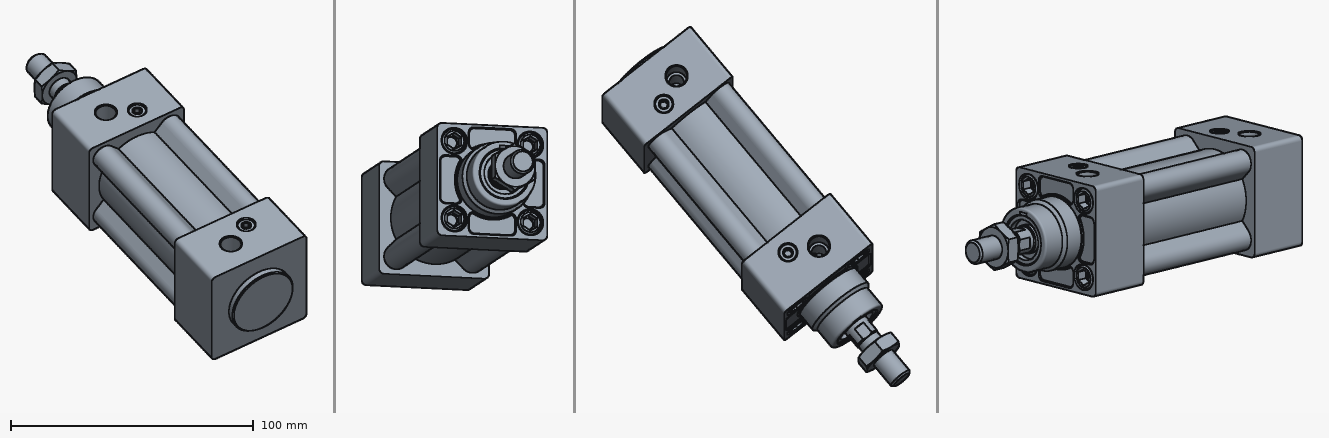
import cadquery as cq
import math

HEX_HALF_ANGLE = math.radians(30)

FRONT_CAP_START = 48.0
CAP_LENGTH = 27.5
TUBE_LENGTH = 64.0
FRONT_CAP_END = FRONT_CAP_START + CAP_LENGTH
REAR_CAP_START = FRONT_CAP_END + TUBE_LENGTH
REAR_CAP_END = REAR_CAP_START + CAP_LENGTH
TOTAL_LENGTH = 170

CAP_WIDTH = 47.0
CAP_HEIGHT = 47.1
CAP_EDGE_RADIUS = 2.0

BARREL_DIAMETER = 37.0
TIE_SPACING = 32.5
TIE_OFFSET = TIE_SPACING / 2
RIB_DIAMETER = 10.4

BOSS_DIAMETER = 30.0
BOSS_NOSE_DIAMETER = 27.0
BOSS_START = 28.9
BOSS_SHOULDER = 40.0
BOSS_NOSE_RADIUS = 0.8
REAR_BOSS_CHAMFER = 0.5

SEAL_BORE_DIAMETER = 17
SEAL_BORE_DEPTH = 3.4
RIM_DIAMETER = 21.5
RIM_DEPTH = 0.5
KEY_WIDTH = 3.9
KEY_REACH = 11.7
KEY_DEPTH = 1.0
WIPER_START = 30.0
WIPER_DIAMETER = 12.0

POCKET_DEPTH = 0.5
COLLAR_DIAMETER = 32.0
POCKET_LENGTH = 20.4
POCKET_INNER = 13.0
POCKET_OUTER = 22.5
POCKET_RADIUS = 2.5
POCKET_WALL_TAPER = 45

SCREW_HOLE_DIAMETER = 11.0
SCREW_HEAD_DIAMETER = 10.0
SCREW_TOP_DIAMETER = 8.3
SCREW_RECESS = 0.7
SCREW_SOCKET = 6.0
SCREW_SOCKET_DEPTH = 4.2
SCREW_BOTTOM_DIAMETER = 5.0
SCREW_BOTTOM_DEPTH = 0.8

PORT_INSET = 14.6
PORT_Y = -5.5
PORT_DIAMETER = 8.5
PORT_MOUTH_DIAMETER = 9.4
PORT_DEPTH = 10.2
PASSAGE_DIAMETER = 6.0
CUSHION_INSET = 8.7
CUSHION_Y = 6.1
CUSHION_DIAMETER = 8.0
CUSHION_FLOOR_DIAMETER = 7.0
CUSHION_SOCKET_DIAMETER = 3.5
CUSHION_SOCKET_MOUTH_DIAMETER = 4.2
CUSHION_SOCKET_DEPTH = 2.5

ROD_DIAMETER = 11.0
THREAD_DIAMETER = 10.0
THREAD_LENGTH = 22.0
THREAD_CHAMFER = 0.8
FLATS_END = 27.9
NUT_START = 12.0
NUT_LENGTH = 6.0
NUT_WIDTH = 17
NUT_CHAMFER_ANGLE = 20

CHAMBER_DIAMETER = 12.0
CHAMBER_LENGTH = 20.4
REAR_CHAMBER_LENGTH = 14.0


def cylinder(start, length, diameter):
    """Round bar along X."""
    return cq.Workplane("YZ").workplane(offset=start).circle(diameter / 2).extrude(length)


def cone(start, length, start_diameter, end_diameter):
    """Frustum along X."""
    axis_point = cq.Vector(start, 0, 0)
    solid = cq.Solid.makeCone(start_diameter / 2, end_diameter / 2, length, axis_point, cq.Vector(1, 0, 0))
    return cq.Workplane(obj=solid)


def hexagon(start, length, width):
    """Hexagonal bar along X, flats facing Y and corners on Z."""
    corner_diameter = width / math.cos(HEX_HALF_ANGLE)
    bar = cq.Workplane("YZ").workplane(offset=start).polygon(6, corner_diameter).extrude(length)
    return bar.rotate((0, 0, 0), (1, 0, 0), 90)


def end_cap(start):
    cap = cq.Workplane("YZ").workplane(offset=start).rect(CAP_WIDTH, CAP_HEIGHT).extrude(CAP_LENGTH)
    return cap.edges("|X").fillet(CAP_EDGE_RADIUS)


def tube():
    profile = cylinder(FRONT_CAP_END, TUBE_LENGTH, BARREL_DIAMETER)
    diagonal = TIE_OFFSET * math.sqrt(2)
    slot_length = 2 * diagonal + RIB_DIAMETER
    for angle in (45, 135):
        rib = (
            cq.Workplane("YZ")
            .workplane(offset=FRONT_CAP_END)
            .slot2D(slot_length, RIB_DIAMETER, angle)
            .extrude(TUBE_LENGTH)
        )
        profile = profile.union(rib)
    return profile


def front_boss():
    shoulder_length = (BOSS_DIAMETER - BOSS_NOSE_DIAMETER) / 2
    cone_start = BOSS_SHOULDER - shoulder_length
    nose = cylinder(BOSS_START, cone_start - BOSS_START, BOSS_NOSE_DIAMETER)
    nose = nose.faces("<X").edges().fillet(BOSS_NOSE_RADIUS)
    shoulder = cone(cone_start, shoulder_length, BOSS_NOSE_DIAMETER, BOSS_DIAMETER)
    body = cylinder(BOSS_SHOULDER, FRONT_CAP_START - BOSS_SHOULDER, BOSS_DIAMETER)
    return nose.union(shoulder).union(body)


def seal_recess():
    """Material removed from the boss nose: conical rim, wedge-shaped key notch and wiper bore."""
    rim = cone(BOSS_START, RIM_DEPTH, RIM_DIAMETER, RIM_DIAMETER - 2 * RIM_DEPTH)
    bore = cylinder(BOSS_START, SEAL_BORE_DEPTH, SEAL_BORE_DIAMETER)
    key_root = RIM_DIAMETER / 2 - RIM_DEPTH
    key = (
        cq.Workplane("XZ")
        .moveTo(BOSS_START, key_root)
        .lineTo(BOSS_START, KEY_REACH)
        .lineTo(BOSS_START + KEY_DEPTH, KEY_REACH)
        .close()
        .extrude(KEY_WIDTH / 2, both=True)
    )
    return bore.union(rim).union(key)


def wiper():
    """Lip ring around the rod, tapered to an edge at its front."""
    taper_length = (WIPER_DIAMETER - ROD_DIAMETER) / 2
    ring_start = WIPER_START + taper_length
    ring_length = BOSS_START + SEAL_BORE_DEPTH - ring_start
    taper = cone(WIPER_START, taper_length, ROD_DIAMETER, WIPER_DIAMETER)
    return taper.union(cylinder(ring_start, ring_length, WIPER_DIAMETER))


def face_pocket(angle):
    """Shallow pocket with sloped walls, between two screws on the front face."""
    return (
        cq.Workplane("YZ")
        .workplane(offset=FRONT_CAP_START)
        .center(0, (POCKET_INNER + POCKET_OUTER) / 2)
        .sketch()
        .rect(POCKET_LENGTH, POCKET_OUTER - POCKET_INNER)
        .vertices()
        .fillet(POCKET_RADIUS)
        .finalize()
        .extrude(POCKET_DEPTH, taper=POCKET_WALL_TAPER)
        .rotate((0, 0, 0), (1, 0, 0), angle)
    )


def screw_recess():
    """Countersunk screw seat with the chamfered head, its hex socket and the round hole below."""
    seat = cone(FRONT_CAP_START, SCREW_RECESS, SCREW_HOLE_DIAMETER, SCREW_HEAD_DIAMETER)
    head = cone(FRONT_CAP_START, SCREW_RECESS, SCREW_TOP_DIAMETER, SCREW_HEAD_DIAMETER)
    socket = hexagon(FRONT_CAP_START, SCREW_SOCKET_DEPTH, SCREW_SOCKET)
    bottom = cylinder(FRONT_CAP_START + SCREW_SOCKET_DEPTH, SCREW_BOTTOM_DEPTH, SCREW_BOTTOM_DIAMETER)
    return seat.cut(head).union(socket).union(bottom)


def vertical_hole(x, y, diameter, bottom):
    top = CAP_HEIGHT / 2
    return cq.Workplane("XY").workplane(offset=bottom).center(x, y).circle(diameter / 2).extrude(top - bottom)


def countersink(x, y, top_diameter, bottom_diameter, top):
    """45 degree frustum that narrows downward from the height top."""
    depth = (top_diameter - bottom_diameter) / 2
    top_centre = cq.Vector(x, y, top)
    solid = cq.Solid.makeCone(top_diameter / 2, bottom_diameter / 2, depth, top_centre, cq.Vector(0, 0, -1))
    return cq.Workplane(obj=solid)


def top_openings(inner_face, outward):
    """Air port and cushion screw in the top of a cap; outward is the X direction away from the tube."""
    top = CAP_HEIGHT / 2
    port_x = inner_face + outward * PORT_INSET
    cushion_x = inner_face + outward * CUSHION_INSET
    port = vertical_hole(port_x, PORT_Y, PORT_DIAMETER, top - PORT_DEPTH)
    port_mouth = countersink(port_x, PORT_Y, PORT_MOUTH_DIAMETER, PORT_DIAMETER, top)
    passage = vertical_hole(port_x, PORT_Y, PASSAGE_DIAMETER, 0)

    recess_depth = (CUSHION_DIAMETER - CUSHION_FLOOR_DIAMETER) / 2
    screw_top = top - recess_depth
    recess = countersink(cushion_x, CUSHION_Y, CUSHION_DIAMETER, CUSHION_FLOOR_DIAMETER, top)
    socket_mouth = countersink(
        cushion_x, CUSHION_Y, CUSHION_SOCKET_MOUTH_DIAMETER, CUSHION_SOCKET_DIAMETER, screw_top
    )
    socket = (
        cq.Workplane("XY")
        .workplane(offset=screw_top)
        .center(cushion_x, CUSHION_Y)
        .polygon(6, CUSHION_SOCKET_DIAMETER)
        .extrude(-CUSHION_SOCKET_DEPTH)
    )
    return port.union(port_mouth).union(passage).union(recess).union(socket_mouth).union(socket)


def make_housing():
    housing = end_cap(FRONT_CAP_START).union(tube()).union(end_cap(REAR_CAP_START))

    wall_inset = POCKET_DEPTH * math.tan(math.radians(POCKET_WALL_TAPER))
    collar_top_diameter = COLLAR_DIAMETER - 2 * wall_inset
    collar = cone(FRONT_CAP_START, POCKET_DEPTH, collar_top_diameter, COLLAR_DIAMETER)
    for angle in (0, 90, 180, 270):
        housing = housing.cut(face_pocket(angle).cut(collar))

    rear_boss = cylinder(REAR_CAP_END, TOTAL_LENGTH - REAR_CAP_END, BOSS_DIAMETER)
    rear_boss = rear_boss.faces(">X").edges().chamfer(REAR_BOSS_CHAMFER)
    housing = housing.union(front_boss()).union(rear_boss)
    housing = housing.cut(seal_recess()).union(wiper())

    for y in (-TIE_OFFSET, TIE_OFFSET):
        for z in (-TIE_OFFSET, TIE_OFFSET):
            housing = housing.cut(screw_recess().translate((0, y, z)))

    housing = housing.cut(top_openings(FRONT_CAP_END, -1)).cut(top_openings(REAR_CAP_START, 1))

    rod_bore = cylinder(WIPER_START, FRONT_CAP_END - WIPER_START, ROD_DIAMETER)
    front_chamber = cylinder(FRONT_CAP_END - CHAMBER_LENGTH, CHAMBER_LENGTH, CHAMBER_DIAMETER)
    rear_chamber = cylinder(REAR_CAP_START, REAR_CHAMBER_LENGTH, CHAMBER_DIAMETER)
    return housing.cut(rod_bore).cut(front_chamber).cut(rear_chamber)


def rod_nut():
    """Hex nut whose corners are chamfered down to the flats at both ends."""
    corner_diameter = NUT_WIDTH / math.cos(HEX_HALF_ANGLE)
    chamfer = (corner_diameter - NUT_WIDTH) / 2 * math.tan(math.radians(NUT_CHAMFER_ANGLE))
    nut_end = NUT_START + NUT_LENGTH
    envelope = cone(NUT_START, chamfer, NUT_WIDTH, corner_diameter)
    envelope = envelope.union(cylinder(NUT_START + chamfer, NUT_LENGTH - 2 * chamfer, corner_diameter))
    envelope = envelope.union(cone(nut_end - chamfer, chamfer, corner_diameter, NUT_WIDTH))
    return hexagon(NUT_START, NUT_LENGTH, NUT_WIDTH).intersect(envelope)


def make_piston_rod():
    thread = cylinder(0, THREAD_LENGTH, THREAD_DIAMETER).faces("<X").edges().chamfer(THREAD_CHAMFER)
    cone_length = (ROD_DIAMETER - THREAD_DIAMETER) / 2
    rod_start = THREAD_LENGTH + cone_length
    shank = cone(THREAD_LENGTH, cone_length, THREAD_DIAMETER, ROD_DIAMETER)
    shank = shank.union(cylinder(rod_start, FRONT_CAP_END - rod_start, ROD_DIAMETER))

    flats_length = FLATS_END - THREAD_LENGTH
    square = (
        cq.Workplane("YZ")
        .workplane(offset=THREAD_LENGTH)
        .rect(THREAD_DIAMETER, THREAD_DIAMETER)
        .extrude(flats_length)
    )
    flats_waste = cylinder(THREAD_LENGTH, flats_length, 2 * ROD_DIAMETER).cut(square)
    return thread.union(shank.cut(flats_waste)).union(rod_nut())


housing = make_housing()
piston_rod = make_piston_rod()
result = cq.Compound.makeCompound([housing.val(), piston_rod.val()])